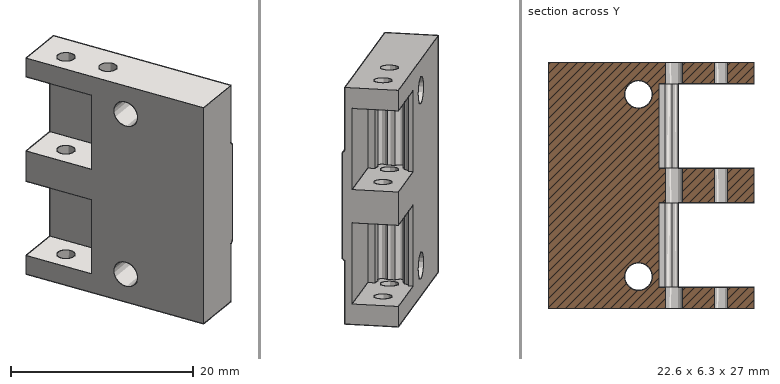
import cadquery as cq
import math

width = 22.6
plate_thickness = 6.0
height = 27.0

pad_rise = 0.3
pad_height = 12.0

pocket_depth_y = 5.17
pocket_front_length = 8.33
pocket_height = 9.25
pocket_end_margin = 2.35
pocket_bottoms = (pocket_end_margin, height - pocket_end_margin - pocket_height)

pin_diameter = 2.0
outer_pin_x = 3.65
outer_pin_y = 2.45
gear_pin_x = 8.82
gear_pin_y = 2.75

tooth_count = 5
first_tooth_angle = 40.0
root_radius = 1.63
flank_end_radius = 1.98
tip_radius = 2.26
root_half_angle = 22.0
flank_end_half_angle = 15.0
flank_middle_radius = 1.83
flank_middle_half_angle = 18.2

mount_diameter = 3.0
mount_x = 12.7
mount_spacing = 20.0


def make_body():
    pad_base_half = pad_height / 2 + pad_rise
    plate = cq.Workplane("XY").box(width, plate_thickness, height, centered=False)
    pad = (
        cq.Workplane("YZ")
        .moveTo(plate_thickness, height / 2 - pad_base_half)
        .lineTo(plate_thickness + pad_rise, height / 2 - pad_height / 2)
        .lineTo(plate_thickness + pad_rise, height / 2 + pad_height / 2)
        .lineTo(plate_thickness, height / 2 + pad_base_half)
        .close()
        .extrude(width)
    )
    return plate.union(pad)


def gear_point(radius, angle):
    """Point at a radius and an angle in degrees around the gear pin."""
    turn = math.radians(angle)
    return gear_pin_x + radius * math.cos(turn), gear_pin_y + radius * math.sin(turn)


def make_tooth(angle):
    """One tooth with curved converging flanks and a domed tip."""
    return (
        cq.Workplane("XY")
        .moveTo(gear_pin_x, gear_pin_y)
        .lineTo(*gear_point(root_radius, angle - root_half_angle))
        .threePointArc(
            gear_point(flank_middle_radius, angle - flank_middle_half_angle),
            gear_point(flank_end_radius, angle - flank_end_half_angle),
        )
        .threePointArc(
            gear_point(tip_radius, angle),
            gear_point(flank_end_radius, angle + flank_end_half_angle),
        )
        .threePointArc(
            gear_point(flank_middle_radius, angle + flank_middle_half_angle),
            gear_point(root_radius, angle + root_half_angle),
        )
        .close()
        .extrude(pocket_height)
    )


def make_pocket():
    """Pocket volume standing on z = 0."""
    pocket = cq.Workplane("XY").box(pocket_front_length, pocket_depth_y, pocket_height, centered=False)
    rear = (
        cq.Workplane("XY")
        .box(gear_pin_x, pocket_depth_y - gear_pin_y, pocket_height, centered=False)
        .translate((0, gear_pin_y, 0))
    )
    root = cq.Workplane("XY").center(gear_pin_x, gear_pin_y).circle(root_radius).extrude(pocket_height)
    pocket = pocket.union(rear).union(root)
    for index in range(tooth_count):
        pocket = pocket.union(make_tooth(first_tooth_angle + index * 360 / tooth_count))
    return pocket


def make_pin_holes():
    return (
        cq.Workplane("XY")
        .pushPoints([(outer_pin_x, outer_pin_y), (gear_pin_x, gear_pin_y)])
        .circle(pin_diameter / 2)
        .extrude(height)
    )


def make_mount_holes():
    centres = [(mount_x, height / 2 + side * mount_spacing / 2) for side in (-1, 1)]
    return (
        cq.Workplane("XZ")
        .pushPoints(centres)
        .circle(mount_diameter / 2)
        .extrude(-(plate_thickness + pad_rise))
    )


result = make_body()
pocket_cut = make_pocket()
for bottom in pocket_bottoms:
    result = result.cut(pocket_cut.translate((0, 0, bottom)))
result = result.cut(make_pin_holes()).cut(make_mount_holes())